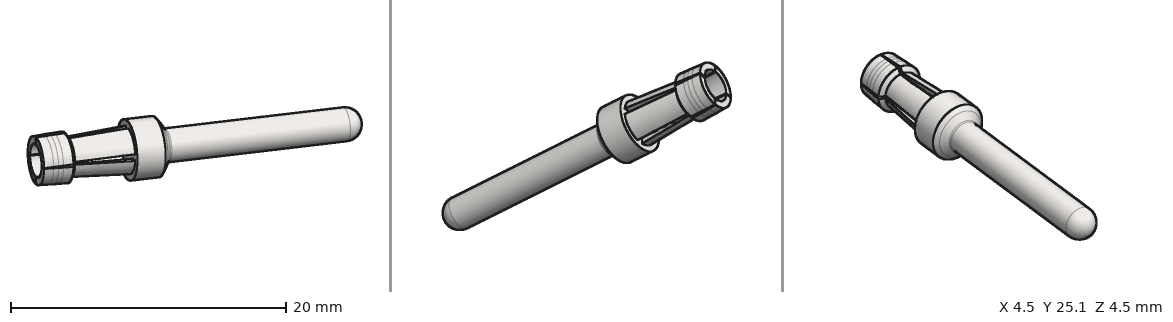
import cadquery as cq

LENGTH = 25.05
PIN_RADIUS = 1.25

COLLAR_RADIUS = 2.25
COLLAR_START = 7.05
COLLAR_END = 9.22
SHOULDER_BREAK_Y = 9.52
SHOULDER_BREAK_RADIUS = 1.88
SHOULDER_END = 9.92
SHOULDER_TOP_RADIUS = 1.3
SHOULDER_BLEND_END = 10.05
SHOULDER_BLEND_RADIUS = 0.2

SLEEVE_ROOT_RADIUS = 1.78
NECK_Y = 2.5
NECK_RADIUS = 1.48
HEAD_BACK_Y = 2.23
HEAD_BACK_RADIUS = 1.9
HEAD_END_RADIUS = 1.8
BAND_START = 0.73
BAND_WIDTH = 0.75
BAND_CROWN = 0.013

BORE_RADIUS = 1.25
SLOT_ROOT_WIDTH = 0.53
SLOT_END_WIDTH = 0.05


def head_radius(y):
    """Radius of the tapered head at distance y from the socket end."""
    return HEAD_END_RADIUS + (HEAD_BACK_RADIUS - HEAD_END_RADIUS) * y / HEAD_BACK_Y


def make_body():
    """Revolve the half outline (radius, Y) about the Y axis."""
    tip_start = LENGTH - PIN_RADIUS
    tip_diagonal = PIN_RADIUS / 2**0.5
    band_middle = BAND_START + BAND_WIDTH / 2
    band_end = BAND_START + BAND_WIDTH
    return (
        cq.Workplane("XY")
        .lineTo(HEAD_END_RADIUS, 0)
        .lineTo(head_radius(BAND_START), BAND_START)
        .lineTo(head_radius(band_middle) + BAND_CROWN, band_middle)
        .lineTo(head_radius(band_end), band_end)
        .lineTo(HEAD_BACK_RADIUS, HEAD_BACK_Y)
        .lineTo(NECK_RADIUS, NECK_Y)
        .lineTo(SLEEVE_ROOT_RADIUS, COLLAR_START)
        .lineTo(COLLAR_RADIUS, COLLAR_START)
        .lineTo(COLLAR_RADIUS, COLLAR_END)
        .lineTo(SHOULDER_BREAK_RADIUS, SHOULDER_BREAK_Y)
        .lineTo(SHOULDER_TOP_RADIUS, SHOULDER_END)
        .radiusArc((PIN_RADIUS, SHOULDER_BLEND_END), SHOULDER_BLEND_RADIUS)
        .lineTo(PIN_RADIUS, tip_start)
        .threePointArc((tip_diagonal, tip_start + tip_diagonal), (0, LENGTH))
        .close()
        .revolve(360, (0, 0, 0), (0, 1, 0))
    )


def make_bore():
    """Blind bore from the socket end to the collar face."""
    return cq.Workplane("XZ").circle(BORE_RADIUS).extrude(-COLLAR_START)


def make_slot():
    """Slot through the full sleeve along Z, widening towards the collar."""
    return (
        cq.Workplane("XY")
        .polyline([
            (-SLOT_END_WIDTH / 2, 0),
            (SLOT_END_WIDTH / 2, 0),
            (SLOT_ROOT_WIDTH / 2, COLLAR_START),
            (-SLOT_ROOT_WIDTH / 2, COLLAR_START),
        ])
        .close()
        .extrude(COLLAR_RADIUS, both=True)
    )


result = make_body().cut(make_bore())
for angle in (0, 90):
    result = result.cut(make_slot().rotate((0, 0, 0), (0, 1, 0), angle))